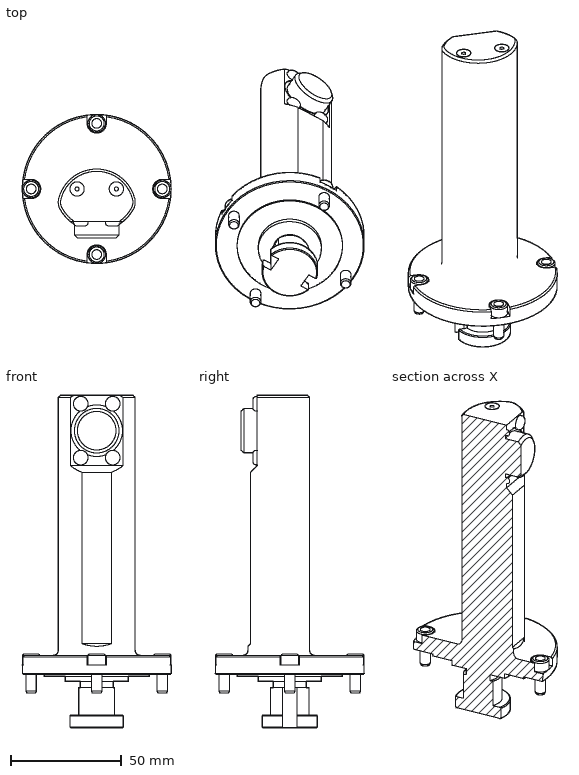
import cadquery as cq

total_height = 150.4
foot_top = 5.9
stem_top = 18.2
hub_bottom = 21.0
spigot_bottom = 23.3
flange_bottom = 24.2
flange_top = 32.8

flange_diameter = 67.4
flange_top_chamfer = 0.8
flange_bottom_chamfer = 0.5
spigot_diameter = 47.7
hub_diameter = 28.5
neck_diameter = 15.0

stem_diameter = 17.6
foot_diameter = 25.1
foot_chamfer = 0.5
drive_slot_width = 6.8
drive_slot_floor = 8.0

screw_count = 4
screw_circle_radius = 29.6
screw_head_diameter = 8.0
screw_head_bottom = 28.4
screw_head_rise = 0.6
screw_head_top = flange_top + screw_head_rise
screw_head_chamfer = 0.6
screw_pocket_diameter = 8.7
screw_socket_diameter = 4.4
screw_socket_depth = 2.5
screw_shank_diameter = 4.8
screw_shank_bottom = 15.6
screw_shank_chamfer_width = 0.5
screw_shank_chamfer_height = 1.0

front_radius = 19.0
back_radius = 17.7
back_edge = 9.0
column_corner_radius = 6.6
column_base_fillet = 2.3
column_top_chamfer = 1.0

long_flat_y = -17.7
long_flat_bottom = 38.0
seat_y = -14.7
seat_bottom = 118.5

connector_z = 134.3
connector_diameter = 20.2
connector_front = -22.1
connector_chamfer = 1.4
recess_diameter = 23.3
recess_depth = 0.6
seat_screw_diameter = 6.6
seat_screw_height = 2.0
seat_screw_rounding = 1.5
seat_screw_x = 7.2
seat_screw_offset_z = 12.2

top_screw_x = 8.9
top_screw_diameter = 6.5
top_screw_sink = 0.2
top_screw_socket_diameter = 1.8
top_screw_socket_depth = 1.5

cut_overrun = 1.5
selection_margin = 0.2


def cylinder(diameter, bottom, top, x=0.0, y=0.0):
    """Upright cylinder between two levels."""
    return cq.Workplane("XY", origin=(x, y, bottom)).circle(diameter / 2).extrude(top - bottom)


def forward_cylinder(diameter, back, front, x, z):
    """Cylinder along -Y, from its back face to its front face."""
    return cq.Workplane("XZ", origin=(x, back, z)).circle(diameter / 2).extrude(back - front)


def make_base():
    """Flange with the discs, neck, stem and foot below it."""
    flange = cylinder(flange_diameter, flange_bottom, flange_top)
    flange = flange.faces(">Z").chamfer(flange_top_chamfer)
    flange = flange.faces("<Z").chamfer(flange_bottom_chamfer)
    foot = cylinder(foot_diameter, 0, foot_top).faces("<Z or >Z").chamfer(foot_chamfer)
    drive = foot.union(cylinder(stem_diameter, foot_top, stem_top))
    for side in (-1, 1):
        slot_depth = foot_diameter / 2 - drive_slot_floor
        slot_x = side * (drive_slot_floor + slot_depth / 2)
        slot = cq.Workplane("XY", origin=(slot_x, 0, 0)).rect(slot_depth, drive_slot_width).extrude(stem_top)
        drive = drive.cut(slot)
    base = flange.union(cylinder(spigot_diameter, spigot_bottom, flange_bottom))
    base = base.union(cylinder(hub_diameter, hub_bottom, spigot_bottom))
    base = base.union(cylinder(neck_diameter, stem_top, hub_bottom))
    return base.union(drive)


def make_column():
    """Column blank with its rounded corners and chamfered top edge."""
    front = cylinder(2 * front_radius, flange_top, total_height)
    back = cylinder(2 * back_radius, flange_top, total_height, y=back_edge - back_radius)
    column = front.intersect(back).edges("|Z and (<X or >X)").fillet(column_corner_radius)
    return column.faces(">Z").chamfer(column_top_chamfer)


def front_flat(y, bottom, top):
    """Cutter for a front flat whose lower end slopes outwards at 45 degrees."""
    reach = y + front_radius + cut_overrun
    profile = [(y, bottom), (y, top), (y - reach, top), (y - reach, bottom - reach)]
    return cq.Workplane("YZ").polyline(profile).close().extrude(front_radius, both=True)


def add_connector(body):
    """Round connector in its recess, with a button-head screw at each corner of the seat."""
    body = body.cut(forward_cylinder(recess_diameter, seat_y + recess_depth, seat_y, 0, connector_z))
    connector = forward_cylinder(connector_diameter, seat_y + recess_depth, connector_front, 0, connector_z)
    body = body.union(connector.faces("<Y").chamfer(connector_chamfer))
    for side in (-1, 1):
        for level in (-1, 1):
            head = forward_cylinder(
                seat_screw_diameter,
                seat_y + recess_depth,
                seat_y - seat_screw_height,
                side * seat_screw_x,
                connector_z + level * seat_screw_offset_z,
            )
            body = body.union(head.faces("<Y").edges().fillet(seat_screw_rounding))
    return body


def add_flange_screw(body, angle):
    """Socket-head screw in a pocket that opens through the flange rim."""
    rim_length = flange_diameter / 2 - screw_circle_radius + cut_overrun
    pocket = cylinder(screw_pocket_diameter, screw_head_bottom, screw_head_top, x=screw_circle_radius)
    opening = (
        cq.Workplane("XY", origin=(screw_circle_radius + rim_length / 2, 0, screw_head_bottom))
        .rect(rim_length, screw_pocket_diameter)
        .extrude(screw_head_top - screw_head_bottom)
    )
    head = cylinder(screw_head_diameter, screw_head_bottom, screw_head_top, x=screw_circle_radius)
    head = head.faces(">Z").chamfer(screw_head_chamfer)
    socket_floor = screw_head_top - screw_socket_depth
    head = head.cut(cylinder(screw_socket_diameter, socket_floor, screw_head_top, x=screw_circle_radius))
    shank = cylinder(screw_shank_diameter, screw_shank_bottom, screw_head_bottom, x=screw_circle_radius)
    shank = shank.faces("<Z").chamfer(screw_shank_chamfer_height, screw_shank_chamfer_width)
    screw = head.union(shank)
    axis = ((0, 0, 0), (0, 0, 1), angle)
    return body.cut(pocket.union(opening).rotate(*axis)).union(screw.rotate(*axis))


def cut_top_screw(body, x):
    """Slightly sunk screw head with its socket, in the top face."""
    sink_floor = total_height - top_screw_sink
    body = body.cut(cylinder(top_screw_diameter, sink_floor, total_height, x=x))
    socket_floor = sink_floor - top_screw_socket_depth
    return body.cut(cylinder(top_screw_socket_diameter, socket_floor, sink_floor, x=x))


body = make_base().union(make_column())
foot_edges = cq.selectors.BoxSelector(
    (-front_radius, -front_radius, flange_top - selection_margin),
    (front_radius, front_radius, flange_top + selection_margin),
    boundingbox=True,
)
body = body.edges(foot_edges).fillet(column_base_fillet)

body = body.cut(front_flat(long_flat_y, long_flat_bottom, total_height))
body = body.cut(front_flat(seat_y, seat_bottom, total_height))
body = add_connector(body)

for index in range(screw_count):
    body = add_flange_screw(body, index * 360 / screw_count)
for side in (-1, 1):
    body = cut_top_screw(body, side * top_screw_x)

result = body